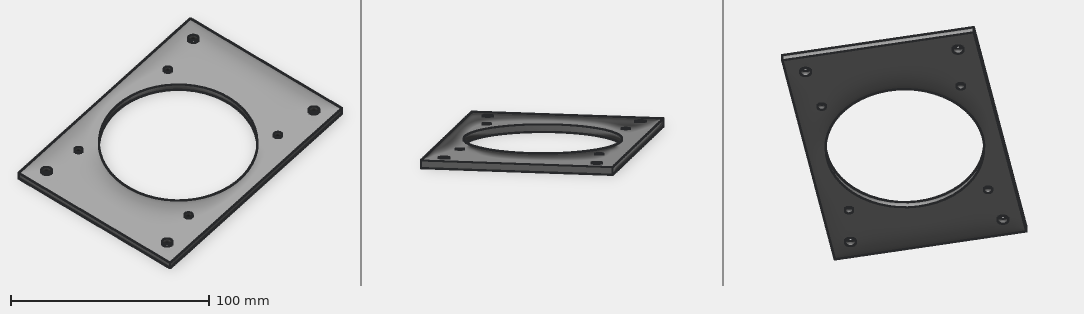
import cadquery as cq

plate_width = 98.5
plate_length = 137.5
plate_thickness = 4.0

opening_diameter = 80.0
opening_center_y = -1.7

corner_hole_diameter = 5.5
corner_hole_inset = 10.0
corner_pitch_x = plate_width - 2 * corner_hole_inset
corner_pitch_y = plate_length - 2 * corner_hole_inset

inner_hole_diameter = 4.3
inner_hole_pitch = 71.5


def top_plane(plate, center_y):
    """Return a workplane on the top face, centred at the given Y."""
    return plate.faces(">Z").workplane(origin=(0, center_y, 0))


def drill_four(plate, center_y, pitch_x, pitch_y, diameter):
    """Drill four through holes at the corners of a rectangle."""
    corners = top_plane(plate, center_y).rect(pitch_x, pitch_y, forConstruction=True).vertices()
    return corners.hole(diameter)


plate = cq.Workplane("XY").box(plate_width, plate_length, plate_thickness)
plate = top_plane(plate, opening_center_y).hole(opening_diameter)
plate = drill_four(plate, 0, corner_pitch_x, corner_pitch_y, corner_hole_diameter)
plate = drill_four(plate, opening_center_y, inner_hole_pitch, inner_hole_pitch, inner_hole_diameter)

result = plate